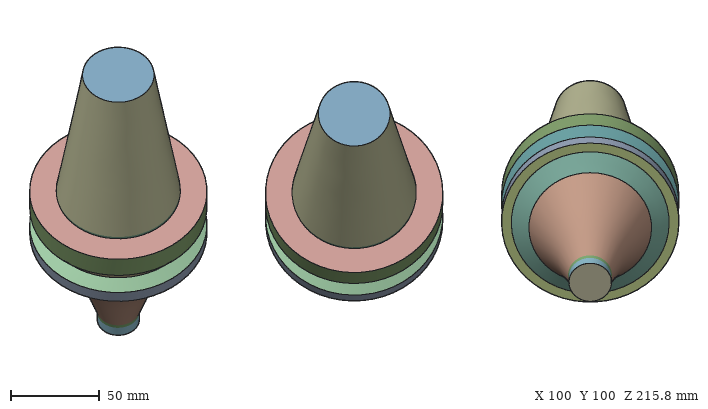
import cadquery as cq

total_height = 215.8

shank_diameter = 70.0
collar_bottom_z = 113.0
collar_height = 1.3
taper_ratio = 7 / 24

flange_diameter = 100.0
groove_diameter = 85.0
groove_top_z = 98.8
groove_floor_top_z = 94.3
groove_floor_bottom_z = 87.8
groove_bottom_z = 83.7
flange_bottom_z = 76.0

flange_underside_diameter = 89.0
nose_root_diameter = 69.0
nose_root_z = 69.5
nose_middle_diameter = 43.8
nose_end_diameter = 24.5
nose_end_z = 9.0
nose_middle_z = (nose_root_z + nose_end_z) / 2
tip_diameter = 24.0
tip_height = 6.5

gauge_z = collar_bottom_z + collar_height
shank_top_diameter = shank_diameter - (total_height - gauge_z) * taper_ratio


def corner(diameter, z):
    """Profile point at the given diameter and height."""
    return (diameter / 2, z)


tip_points = [
    corner(tip_diameter, 0),
    corner(tip_diameter, tip_height),
    corner(nose_end_diameter, nose_end_z),
]

upper_points = [
    corner(flange_underside_diameter, flange_bottom_z),
    corner(flange_diameter, flange_bottom_z),
    corner(flange_diameter, groove_bottom_z),
    corner(groove_diameter, groove_floor_bottom_z),
    corner(groove_diameter, groove_floor_top_z),
    corner(flange_diameter, groove_top_z),
    corner(flange_diameter, collar_bottom_z),
    corner(shank_diameter, collar_bottom_z),
    corner(shank_diameter, gauge_z),
    corner(shank_top_diameter, total_height),
    (0, total_height),
]

profile = cq.Workplane("XZ").moveTo(0, 0)
for point in tip_points:
    profile = profile.lineTo(*point)
profile = profile.threePointArc(
    corner(nose_middle_diameter, nose_middle_z),
    corner(nose_root_diameter, nose_root_z),
)
for point in upper_points:
    profile = profile.lineTo(*point)

result = profile.close().revolve(360, (0, 0), (0, 1))